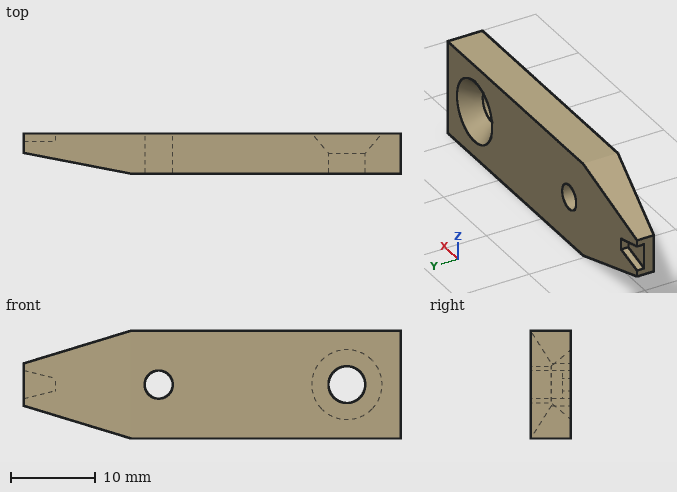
import cadquery as cq

length = 44.45
thickness = 4.75
height = 12.7
back_y = thickness / 2

taper_length = 12.62
tip_height = 5.02
tip_thickness = 2.3
shoulder_x = -length / 2 + taper_length

small_hole_diameter = 3.3
small_hole_x = shoulder_x + 3.3
large_hole_diameter = 4.3
large_hole_x = length / 2 - 6.35
countersink_diameter = 8.25
countersink_angle = 80

notch_depth = 1.0
notch_mouth_height = 3.35
notch_end_height = 1.45
notch_length = 3.75


def mirrored_taper(start_x, start_size, end_x, end_size):
    """Return the corners of a trapezoid symmetric about the X axis."""
    return [
        (start_x, -start_size / 2),
        (end_x, -end_size / 2),
        (end_x, end_size / 2),
        (start_x, start_size / 2),
    ]


def make_bar():
    """Intersect the side-tapered outline with the front-tapered outline."""
    outline = mirrored_taper(-length / 2, tip_height, shoulder_x, height)
    outline[2:2] = [(length / 2, -height / 2), (length / 2, height / 2)]
    face_profile = (
        cq.Workplane("XZ", origin=(0, back_y, 0)).polyline(outline).close().extrude(thickness)
    )
    edge_profile = (
        cq.Workplane("XY")
        .moveTo(-length / 2, back_y)
        .lineTo(-length / 2, back_y - tip_thickness)
        .lineTo(shoulder_x, -back_y)
        .lineTo(length / 2, -back_y)
        .lineTo(length / 2, back_y)
        .close()
        .extrude(height / 2, both=True)
    )
    return face_profile.intersect(edge_profile)


def cut_holes(body):
    """Drill both holes from the back, with a countersink on the large one."""
    back = cq.Workplane("XZ", origin=(0, back_y, 0)).transformed(rotate=(0, 180, 0))
    small = back.center(-small_hole_x, 0).circle(small_hole_diameter / 2).extrude(-thickness)
    body = body.cut(small)
    return (
        body.copyWorkplane(back)
        .center(-large_hole_x, 0)
        .cskHole(large_hole_diameter, countersink_diameter, countersink_angle)
    )


def make_notch():
    """Build the tapered pocket that opens at the tip and the back."""
    notch_end_x = -length / 2 + notch_length
    return (
        cq.Workplane("XZ", origin=(0, back_y, 0))
        .polyline(mirrored_taper(-length / 2, notch_mouth_height, notch_end_x, notch_end_height))
        .close()
        .extrude(notch_depth)
    )


result = cut_holes(make_bar()).cut(make_notch())